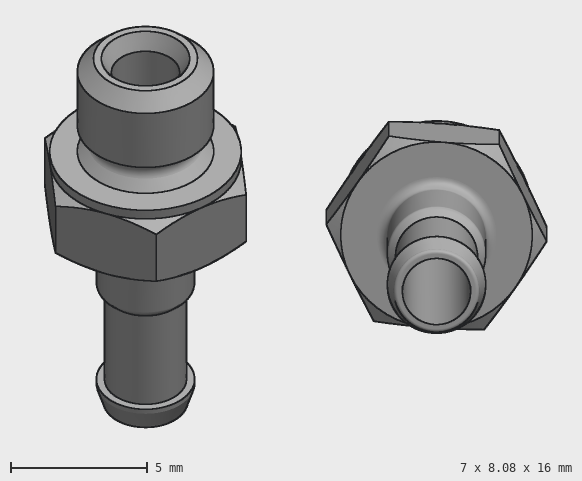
import cadquery as cq
import math

total_height = 16.0
barb_taper_top = 0.9
barb_top = 1.1
shoulder_bottom = 5.22
hex_bottom = 8.5
hex_height = 2.8
collar_height = 0.4
thread_bottom = 12.9

bore_radius = 2.5 / 2
hose_radius = 3.0 / 2
stem_radius = 3.6 / 2
thread_radius = 5.0 / 2
neck_radius = 2.0
barb_tip_radius = 1.57

hex_across_flats = 7.0
hex_corner_radius = hex_across_flats / math.sqrt(3)
hex_chamfer_angle = math.radians(30)

thread_chamfer = 0.6
tip_round = 0.15
stem_fillet = 0.38
neck_groove_depth = 0.11
shoulder_round = 0.24
upper_flank_slope = 0.6
countersink_radius = 1.62
countersink_depth = 0.64

hex_top = hex_bottom + hex_height
collar_top = hex_top + collar_height
collar_radius = hex_across_flats / 2
diagonal = math.sqrt(0.5)


def revolve(profile):
    """Turn a closed (radius, z) profile around the Z axis."""
    return profile.close().revolve(360, (0, 0, 0), (0, 1, 0))


def make_stem():
    """Hose stem with a rounded barb, a shoulder and a fillet under the hexagon."""
    cone_radius = stem_radius - shoulder_round * (1 - diagonal)
    cone_top = shoulder_bottom + cone_radius - hose_radius
    profile = (
        cq.Workplane("XZ")
        .lineTo(barb_tip_radius - tip_round, 0)
        .threePointArc(
            (barb_tip_radius - tip_round * (1 - diagonal), tip_round * (1 - diagonal)),
            (barb_tip_radius, tip_round),
        )
        .lineTo(stem_radius, barb_taper_top)
        .lineTo(stem_radius, barb_top)
        .lineTo(hose_radius, barb_top)
        .lineTo(hose_radius, shoulder_bottom)
        .lineTo(cone_radius, cone_top)
        .tangentArcPoint((stem_radius, cone_top + shoulder_round * diagonal), relative=False)
        .lineTo(stem_radius, hex_bottom - stem_fillet)
        .threePointArc(
            (stem_radius + stem_fillet * (1 - diagonal), hex_bottom - stem_fillet * (1 - diagonal)),
            (stem_radius + stem_fillet, hex_bottom),
        )
        .lineTo(0, hex_bottom)
    )
    return revolve(profile)


def make_hexagon():
    """Hexagon with corners on +Y and -Y, its corners turned down at both ends."""
    prism = (
        cq.Workplane("XY")
        .workplane(offset=hex_bottom)
        .polygon(6, 2 * hex_corner_radius)
        .extrude(hex_height)
        .rotate((0, 0, 0), (0, 0, 1), 30)
    )
    corner_drop = (hex_corner_radius - collar_radius) * math.tan(hex_chamfer_angle)
    envelope = revolve(
        cq.Workplane("XZ")
        .moveTo(0, hex_bottom)
        .lineTo(collar_radius, hex_bottom)
        .lineTo(hex_corner_radius, hex_bottom + corner_drop)
        .lineTo(hex_corner_radius, hex_top - corner_drop)
        .lineTo(collar_radius, hex_top)
        .lineTo(0, hex_top)
    )
    return prism.intersect(envelope)


def make_threaded_end():
    """Collar, undercut neck with a 45 degree lower flank, and chamfered thread cylinder."""
    flank_radius = neck_radius + neck_groove_depth
    lower_flank_top = collar_top + thread_radius - flank_radius
    upper_flank_bottom = thread_bottom - (thread_radius - flank_radius) * upper_flank_slope
    neck_middle = (lower_flank_top + upper_flank_bottom) / 2
    profile = (
        cq.Workplane("XZ")
        .moveTo(0, hex_top)
        .lineTo(collar_radius, hex_top)
        .lineTo(collar_radius, collar_top)
        .lineTo(thread_radius, collar_top)
        .lineTo(flank_radius, lower_flank_top)
        .threePointArc((neck_radius, neck_middle), (flank_radius, upper_flank_bottom))
        .lineTo(thread_radius, thread_bottom)
        .lineTo(thread_radius, total_height - thread_chamfer)
        .lineTo(thread_radius - thread_chamfer, total_height)
        .lineTo(0, total_height)
    )
    return revolve(profile)


def make_bore():
    """Through bore with a countersink at the threaded end."""
    profile = (
        cq.Workplane("XZ")
        .lineTo(bore_radius, 0)
        .lineTo(bore_radius, total_height - countersink_depth)
        .lineTo(countersink_radius, total_height)
        .lineTo(0, total_height)
    )
    return revolve(profile)


result = make_stem().union(make_hexagon()).union(make_threaded_end()).cut(make_bore())